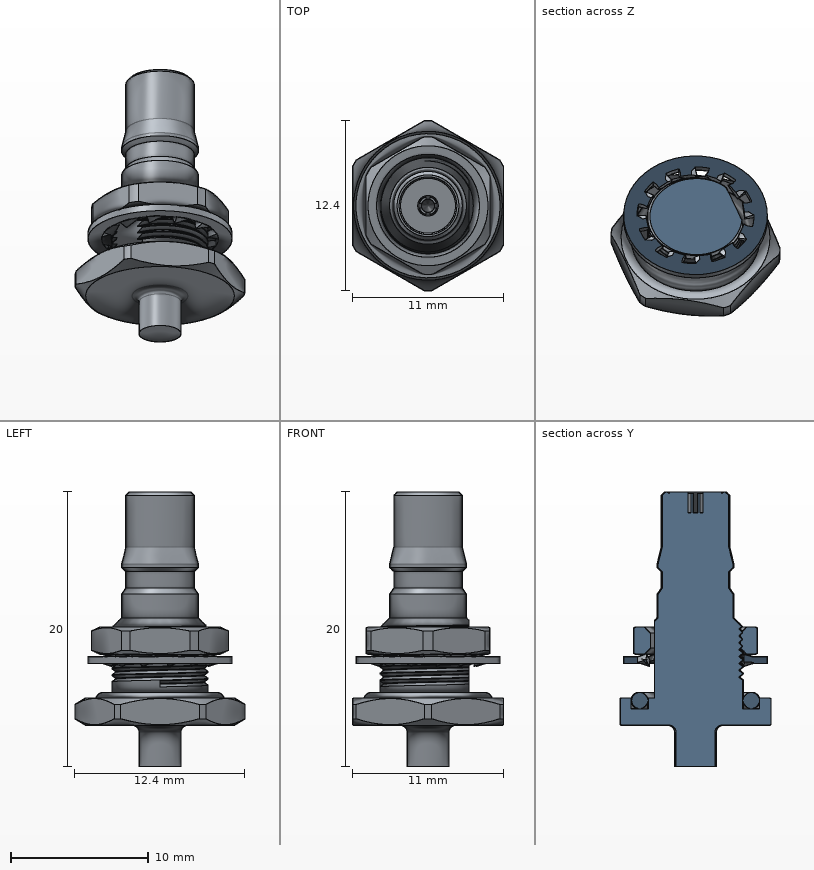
import cadquery as cq
import math


total_height = 20.0
barrel_radius = 2.5
barrel_end_chamfer = 0.25
collar_radius = 2.8
latch_ramp_top_z = 16.0
latch_ramp_bottom_z = 14.75
latch_land_bottom_z = 14.5
latch_groove_top_z = latch_land_bottom_z - (collar_radius - barrel_radius)
latch_groove_bottom_z = 13.0
collar_top_z = 12.55

thread_radius = 3.5
thread_pitch = 0.5
thread_depth = 0.25
thread_crest_width = 0.05
thread_overcut = 0.02
thread_start_z = 5.8
thread_end_z = 10.5
shank_shoulder_z = 10.83
cone_overcut = 0.1
shank_flat_x = 3.0

flange_bottom_z = 3.0
flange_height = 2.0
flange_top_z = flange_bottom_z + flange_height
flange_across_flats = 11.0
flange_corner_radius = 6.2
flange_chamfer_radius = 5.42
flange_chamfer_height = 0.48
tail_radius = 1.53
tail_fillet = 0.5

insulator_radius = 2.0
insulator_groove = 0.1
contact_recess_radius = 0.75
contact_recess_depth = 0.1
contact_radius = 0.65
contact_bore_radius = 0.48
contact_bore_depth = 3.0
contact_cone_depth = contact_bore_radius * math.tan(math.radians(31))
contact_slot_width = 0.3
contact_slot_depth = 1.5
contact_slot_count = 4

ring_section_radius = 0.6
ring_center_radius = thread_radius + ring_section_radius
ring_center_z = 4.81

washer_bottom_z = 7.5
washer_thickness = 0.5
washer_outer_radius = 5.25
washer_inner_radius = 4.25
tooth_count = 12
tooth_tip_radius = 3.55
tooth_root_overlap = 0.1
tooth_width = 1.2
tooth_twist = 23.0
tooth_root_thickness = 0.4
first_tooth_angle = 197.0

nut_bottom_z = 8.17
nut_height = 2.0
nut_across_flats = 9.0
nut_corner_radius = 5.0
nut_chamfer_radius = 4.37
nut_chamfer_height = 0.3
nut_bore_radius = 3.3
nut_mouth_radius = 3.75


def hex_block(bottom_z, height, across_flats, corner_radius, chamfer_radius, chamfer_height):
    """Hexagon with flats on +X and -X, its corners turned round and chamfered at both ends."""
    corner_diameter = across_flats / math.cos(math.pi / 6)
    hexagon = cq.Workplane("XY").polygon(6, corner_diameter).extrude(height)
    hexagon = hexagon.rotate((0, 0, 0), (0, 0, 1), 30)
    turned_profile = [
        (0, 0),
        (chamfer_radius, 0),
        (corner_radius, chamfer_height),
        (corner_radius, height - chamfer_height),
        (chamfer_radius, height),
        (0, height),
    ]
    turned = cq.Workplane("XZ").polyline(turned_profile).close().revolve(360, (0, 0), (0, 1))
    return hexagon.intersect(turned).translate((0, 0, bottom_z))


def thread_groove():
    """Right-hand helical V groove that starts on the -X side and runs out through the shank's cone."""
    root_radius = thread_radius - thread_depth
    mouth_radius = thread_radius + thread_overcut
    root_half_width = thread_crest_width / 2
    half_width = (thread_pitch - thread_crest_width) / 2
    flank_slope = (half_width - root_half_width) / thread_depth
    mouth_half_width = half_width + flank_slope * thread_overcut
    helix = cq.Wire.makeHelix(thread_pitch, thread_end_z - thread_start_z, root_radius)
    groove_profile = [
        (root_radius, -root_half_width),
        (mouth_radius, -mouth_half_width),
        (mouth_radius, mouth_half_width),
        (root_radius, root_half_width),
    ]
    groove = cq.Workplane("XZ").polyline(groove_profile).close().sweep(cq.Workplane(helix), isFrenet=True)
    groove = groove.rotate((0, 0, 0), (0, 0, 1), 180)
    return groove.translate((0, 0, thread_start_z + half_width))


def threaded_shank():
    """Threaded cylinder with a flat along its +X side and its upper edge turned to a cone."""
    shank = (
        cq.Workplane("XY", origin=(0, 0, flange_top_z))
        .circle(thread_radius)
        .extrude(shank_shoulder_z - flange_top_z)
    )
    flat_cutter = cq.Workplane("XY").box(
        thread_radius, 2 * thread_radius, total_height, centered=(False, True, False)
    )
    shank = shank.cut(flat_cutter.translate((shank_flat_x, 0, 0)))
    shank = shank.cut(thread_groove())

    cone_reach = thread_radius - collar_radius + cone_overcut
    cone_cutter_profile = [
        (collar_radius, shank_shoulder_z),
        (collar_radius + cone_reach, shank_shoulder_z - cone_reach),
        (collar_radius + cone_reach, shank_shoulder_z + cone_overcut),
        (collar_radius, shank_shoulder_z + cone_overcut),
    ]
    cone_cutter = cq.Workplane("XZ").polyline(cone_cutter_profile).close().revolve(360, (0, 0), (0, 1))
    return shank.cut(cone_cutter)


def barrel():
    """Turned barrel with the latch ridge, the latch groove and a chamfered end."""
    profile = [
        (0, shank_shoulder_z),
        (collar_radius, shank_shoulder_z),
        (collar_radius, collar_top_z),
        (barrel_radius, latch_groove_bottom_z),
        (barrel_radius, latch_groove_top_z),
        (collar_radius, latch_land_bottom_z),
        (collar_radius, latch_ramp_bottom_z),
        (barrel_radius, latch_ramp_top_z),
        (barrel_radius, total_height - barrel_end_chamfer),
        (barrel_radius - barrel_end_chamfer, total_height),
        (0, total_height),
    ]
    return cq.Workplane("XZ").polyline(profile).close().revolve(360, (0, 0), (0, 1))


def flange():
    """Hexagonal flange with the groove for the sealing ring."""
    block = hex_block(
        flange_bottom_z,
        flange_height,
        flange_across_flats,
        flange_corner_radius,
        flange_chamfer_radius,
        flange_chamfer_height,
    )
    groove_depth = flange_top_z - (ring_center_z - ring_section_radius)
    groove = (
        cq.Workplane("XY", origin=(0, 0, flange_top_z))
        .circle(ring_center_radius + ring_section_radius)
        .circle(thread_radius)
        .extrude(-groove_depth)
    )
    return block.cut(groove)


def tail():
    """Round tail that flares into the flange through a concave fillet."""
    fillet_center = (tail_radius + tail_fillet, flange_bottom_z - tail_fillet)
    fillet_reach = tail_fillet * math.sqrt(0.5)
    fillet_middle = (fillet_center[0] - fillet_reach, fillet_center[1] + fillet_reach)
    return (
        cq.Workplane("XZ")
        .lineTo(tail_radius, 0)
        .lineTo(tail_radius, flange_bottom_z - tail_fillet)
        .threePointArc(fillet_middle, (tail_radius + tail_fillet, flange_bottom_z))
        .lineTo(0, flange_bottom_z)
        .close()
        .revolve(360, (0, 0), (0, 1))
    )


def insulator_gap():
    """V groove in the end face between the insulator and the barrel's rim."""
    profile = [
        (insulator_radius, total_height),
        (insulator_radius + insulator_groove, total_height),
        (insulator_radius, total_height - insulator_groove),
    ]
    return cq.Workplane("XZ").polyline(profile).close().revolve(360, (0, 0), (0, 1))


def contact_socket():
    """Clearance round the contact, with its cone-bottomed bore and its slots."""
    contact_top_z = total_height - contact_recess_depth
    slot_bottom_z = total_height - contact_slot_depth
    bore_bottom_z = total_height - contact_bore_depth
    opening_profile = [
        (0, bore_bottom_z - contact_cone_depth),
        (contact_bore_radius, bore_bottom_z),
        (contact_bore_radius, contact_top_z),
        (contact_recess_radius, contact_top_z),
        (contact_recess_radius, total_height),
        (0, total_height),
    ]
    opening = cq.Workplane("XZ").polyline(opening_profile).close().revolve(360, (0, 0), (0, 1))
    clearance = (
        cq.Workplane("XY", origin=(0, 0, slot_bottom_z))
        .circle(contact_recess_radius)
        .circle(contact_radius)
        .extrude(contact_slot_depth)
    )
    socket = opening.union(clearance)
    for index in range(contact_slot_count):
        slot = cq.Workplane("XY", origin=(0, 0, slot_bottom_z)).box(
            contact_radius + insulator_groove / 2,
            contact_slot_width,
            contact_slot_depth,
            centered=(False, True, False),
        )
        socket = socket.union(slot.rotate((0, 0, 0), (0, 0, 1), index * 360 / contact_slot_count))
    return socket


def make_body():
    solid = tail().union(flange()).union(threaded_shank()).union(barrel())
    return solid.cut(insulator_gap()).cut(contact_socket())


def make_sealing_ring():
    return (
        cq.Workplane("XZ")
        .center(ring_center_radius, ring_center_z)
        .circle(ring_section_radius)
        .revolve(360, (-ring_center_radius, 0), (-ring_center_radius, 1))
    )


def washer_tooth():
    """Tooth along +X that twists from flat at its root to tilted at its tip."""
    root_radius = washer_inner_radius + tooth_root_overlap
    return (
        cq.Workplane("YZ", origin=(root_radius, 0, washer_bottom_z + washer_thickness / 2))
        .rect(tooth_width, tooth_root_thickness)
        .workplane(offset=tooth_tip_radius - root_radius)
        .transformed(rotate=(0, 0, tooth_twist))
        .rect(tooth_width, washer_thickness)
        .loft(ruled=True)
    )


def make_lock_washer():
    washer = (
        cq.Workplane("XY", origin=(0, 0, washer_bottom_z))
        .circle(washer_outer_radius)
        .circle(washer_inner_radius)
        .extrude(washer_thickness)
    )
    for index in range(tooth_count):
        angle = first_tooth_angle + index * 360 / tooth_count
        washer = washer.union(washer_tooth().rotate((0, 0, 0), (0, 0, 1), angle))
    return washer


def make_nut(threaded_body):
    """Hex nut whose countersunk bore is threaded to match the body that it sits on."""
    block = hex_block(
        nut_bottom_z,
        nut_height,
        nut_across_flats,
        nut_corner_radius,
        nut_chamfer_radius,
        nut_chamfer_height,
    )
    nut_top_z = nut_bottom_z + nut_height
    countersink = nut_mouth_radius - nut_bore_radius
    bore_profile = [
        (0, nut_bottom_z),
        (nut_mouth_radius, nut_bottom_z),
        (nut_bore_radius, nut_bottom_z + countersink),
        (nut_bore_radius, nut_top_z - countersink),
        (nut_mouth_radius, nut_top_z),
        (0, nut_top_z),
    ]
    bore = cq.Workplane("XZ").polyline(bore_profile).close().revolve(360, (0, 0), (0, 1))
    return block.cut(bore).cut(threaded_body)


body = make_body()
sealing_ring = make_sealing_ring()
lock_washer = make_lock_washer()
nut = make_nut(body)

result = cq.Compound.makeCompound([body.val(), sealing_ring.val(), lock_washer.val(), nut.val()])